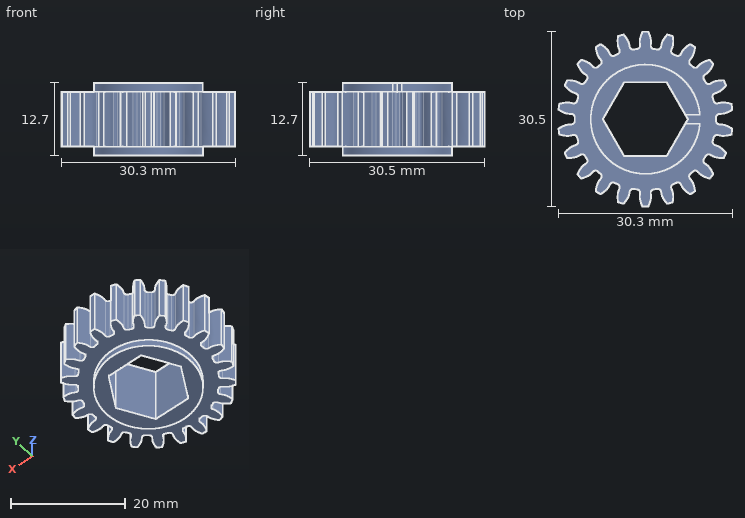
import cadquery as cq
import math

TEETH = 22
MODULE = 25.4 / 20
PRESSURE_ANGLE = math.radians(14.5)
FLANK_BACKLASH = 0.04
ROOT_DEPTH = 1.64
ROOT_FILLET = 0.57
INVOLUTE_POINTS = 5

PITCH_RADIUS = TEETH * MODULE / 2
TIP_RADIUS = PITCH_RADIUS + MODULE
ROOT_RADIUS = PITCH_RADIUS - ROOT_DEPTH
BASE_RADIUS = PITCH_RADIUS * math.cos(PRESSURE_ANGLE)
TOOTH_PITCH = 2 * math.pi / TEETH

FACE_WIDTH = 9.525
HUB_DIAMETER = 19.05
HUB_HEIGHT = 1.5625
TOTAL_HEIGHT = FACE_WIDTH + 2 * HUB_HEIGHT
HEX_ACROSS_FLATS = 12.8
SLOT_WIDTH = 1.5625


def polar(radius, angle):
    return (radius * math.cos(angle), radius * math.sin(angle))


def involute_angle(radius):
    """Angle an involute has unwound by when it reaches the given radius."""
    pressure = math.acos(min(1, BASE_RADIUS / radius))
    return math.tan(pressure) - pressure


BASE_HALF_ANGLE = TOOTH_PITCH / 4 - FLANK_BACKLASH / PITCH_RADIUS + involute_angle(PITCH_RADIUS)

TIP_ROLL = math.sqrt((TIP_RADIUS / BASE_RADIUS) ** 2 - 1)


def flank_points(center_angle, side):
    """Involute points from base to tip; side is -1 for the leading flank, +1 for the trailing one."""
    points = []
    for i in range(INVOLUTE_POINTS):
        roll = TIP_ROLL * i / (INVOLUTE_POINTS - 1)
        radius = BASE_RADIUS * math.hypot(1, roll)
        half_angle = BASE_HALF_ANGLE - involute_angle(radius)
        points.append(polar(radius, center_angle + side * half_angle))
    return points


def fillet_arc(flank_angle, side):
    """Start, middle and end of the fillet from a radial flank down to the root circle."""
    center_radius = ROOT_RADIUS + ROOT_FILLET
    turn = math.asin(ROOT_FILLET / center_radius)
    center_angle = flank_angle + side * turn
    center = polar(center_radius, center_angle)
    toward_flank = flank_angle - side * math.pi / 2
    middle_direction = toward_flank - side * (math.pi / 2 - turn) / 2
    offset = polar(ROOT_FILLET, middle_direction)
    start = polar(center_radius * math.cos(turn), flank_angle)
    middle = (center[0] + offset[0], center[1] + offset[1])
    end = polar(ROOT_RADIUS, center_angle)
    return start, middle, end


def add_tooth(outline, center_angle):
    """Draw one tooth counterclockwise, then the root arc up to the next tooth's fillet."""
    lead_angle = center_angle - BASE_HALF_ANGLE
    trail_angle = center_angle + BASE_HALF_ANGLE
    lead_tangents = [polar(1, lead_angle), polar(1, lead_angle + TIP_ROLL)]
    trail_tangents = [polar(-1, trail_angle - TIP_ROLL), polar(-1, trail_angle)]
    leading = flank_points(center_angle, -1)
    trailing = flank_points(center_angle, 1)[::-1]
    lead_top, lead_middle, _ = fillet_arc(lead_angle, -1)
    trail_top, trail_middle, trail_root = fillet_arc(trail_angle, 1)
    next_root = fillet_arc(lead_angle + TOOTH_PITCH, -1)[2]
    outline = outline.threePointArc(lead_middle, lead_top)
    outline = outline.spline(leading, tangents=lead_tangents, includeCurrent=True)
    outline = outline.threePointArc(polar(TIP_RADIUS, center_angle), trailing[0])
    outline = outline.spline(trailing[1:] + [trail_top], tangents=trail_tangents, includeCurrent=True)
    outline = outline.threePointArc(trail_middle, trail_root)
    return outline.threePointArc(polar(ROOT_RADIUS, center_angle + TOOTH_PITCH / 2), next_root)


def toothed_ring():
    first_angle = math.pi / 2
    start = fillet_arc(first_angle - BASE_HALF_ANGLE, -1)[2]
    outline = cq.Workplane("XY").workplane(offset=-FACE_WIDTH / 2).moveTo(*start)
    for i in range(TEETH):
        outline = add_tooth(outline, first_angle + i * TOOTH_PITCH)
    return outline.close().extrude(FACE_WIDTH)


def hubs():
    return cq.Workplane("XY").circle(HUB_DIAMETER / 2).extrude(TOTAL_HEIGHT / 2, both=True)


def hex_bore():
    across_corners = HEX_ACROSS_FLATS / math.cos(math.radians(30))
    return cq.Workplane("XY").polygon(6, across_corners).extrude(TOTAL_HEIGHT / 2, both=True)


def hub_slot():
    return (
        cq.Workplane("XY")
        .workplane(offset=FACE_WIDTH / 2)
        .rect(HUB_DIAMETER, SLOT_WIDTH)
        .extrude(HUB_HEIGHT)
        .translate((HUB_DIAMETER / 2, 0, 0))
    )


result = toothed_ring().union(hubs()).cut(hex_bore()).cut(hub_slot())